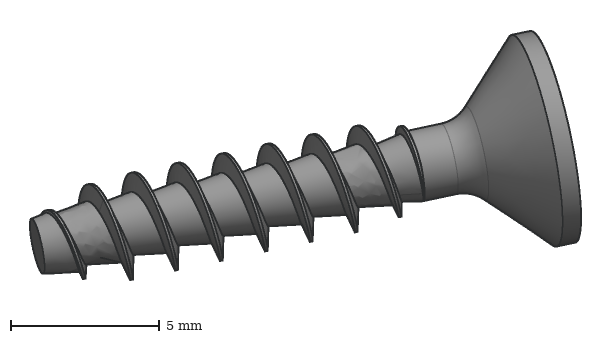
import cadquery as cq
import math


total_length = 18.0
head_radius = 3.65
rim_depth = 0.65
neck_fillet_radius = 1.35
cone_half_angle = math.radians(45)

shank_radius = 1.22
shank_end_depth = 4.82
core_radius = 0.95
runout_length = 1.4

pitch = 1.57
crest_radius = 1.77
crest_width = 0.1
flank_half_angle = math.radians(13.5)
tip_turns = 1.5
full_turns = 5.75
head_turns = 1.0
end_turns = 0.75
end_pitch = 0.5
tip_crest_radius = 0.92
head_crest_radius = 1.45
tooth_depth = 0.87

root_high_radius = 1.17
root_length = 1.44
root_inner_radius = 0.75
tip_taper_length = 1.2

shank_end = total_length - shank_end_depth
start_angle = 90


def helix(radius, radius_change, z_start, turns, lead):
    """Right-handed helix wire starting at z_start on +X, cylindrical or conical."""
    rise = turns * lead
    center = cq.Vector(0, 0, z_start)
    if radius_change == 0:
        return cq.Wire.makeHelix(lead, rise, radius, center)
    slope_angle = math.atan2(radius_change, rise)
    stretch = 1 / math.cos(slope_angle)
    return cq.Wire.makeHelix(
        lead * stretch, rise * stretch, radius, center, angle=math.degrees(slope_angle)
    )


def helical_solid(profile, z_start, turns, radius_change=0.0, lead=pitch):
    """Solid swept by a polygon of (radius, z) corners, closed by a flat face at each end."""
    rails = []
    for radius, z in profile:
        rails.append(helix(radius, radius_change, z_start + z, turns, lead))
    faces = []
    for index, rail in enumerate(rails):
        faces.append(cq.Face.makeRuledSurface(rails[index - 1], rail))
    turn_angle = 2 * math.pi * turns
    start_corners = []
    end_corners = []
    for radius, z in profile:
        end_radius = radius + radius_change
        start_corners.append(cq.Vector(radius, 0, z_start + z))
        end_corners.append(
            cq.Vector(
                end_radius * math.cos(turn_angle),
                end_radius * math.sin(turn_angle),
                z_start + z + turns * lead,
            )
        )
    for corners in (start_corners, end_corners):
        faces.append(cq.Face.makeFromWires(cq.Wire.makePolygon(corners, close=True)))
    return cq.Workplane(obj=cq.Solid.makeSolid(cq.Shell.makeShell(faces)))


def turned(body, turns):
    """Body turned about the axis to the place on the thread that lies `turns` from its start."""
    return body.rotate((0, 0, 0), (0, 0, 1), start_angle + 360 * turns)


def make_body():
    """Head, neck, shank, runout and core as one revolved shape."""
    fillet_rise = neck_fillet_radius * math.sin(cone_half_angle)
    fillet_step = neck_fillet_radius * (1 - math.cos(cone_half_angle))
    neck_radius = shank_radius + fillet_step
    rim_z = total_length - rim_depth
    neck_z = rim_z - (head_radius - neck_radius) / math.tan(cone_half_angle)
    mid_angle = cone_half_angle / 2
    mid_radius = shank_radius + neck_fillet_radius * (1 - math.cos(mid_angle))
    fillet_z = neck_z - fillet_rise
    mid_z = fillet_z + neck_fillet_radius * math.sin(mid_angle)
    return (
        cq.Workplane("XZ")
        .moveTo(0, 0)
        .lineTo(core_radius, 0)
        .lineTo(core_radius, shank_end - runout_length)
        .lineTo(shank_radius, shank_end)
        .lineTo(shank_radius, fillet_z)
        .threePointArc((mid_radius, mid_z), (neck_radius, neck_z))
        .lineTo(head_radius, rim_z)
        .lineTo(head_radius, total_length)
        .lineTo(0, total_length)
        .close()
        .revolve(360, (0, 0, 0), (0, 1, 0))
    )


def make_tooth(radius_start, radius_end, first_turn, turns, lead=pitch):
    """Stretch of thread tooth whose crest radius runs from radius_start to radius_end."""
    half_crest = crest_width / 2
    half_root = half_crest + tooth_depth * math.tan(flank_half_angle)
    profile = [
        (radius_start - tooth_depth, -half_root),
        (radius_start, -half_crest),
        (radius_start, half_crest),
        (radius_start - tooth_depth, half_root),
    ]
    radius_change = radius_end - radius_start
    tooth = helical_solid(profile, first_turn * pitch, turns, radius_change, lead)
    return turned(tooth, first_turn)


def make_sloped_root():
    """Root surface that falls from the tip side of each tooth to the next tooth."""
    profile = [
        (root_inner_radius, 0),
        (root_inner_radius, -root_length),
        (core_radius, -root_length),
        (root_high_radius, 0),
    ]
    turns = tip_turns + full_turns + head_turns + end_turns
    limits = (
        cq.Workplane("XZ")
        .moveTo(0, 0)
        .lineTo(core_radius, 0)
        .lineTo(root_high_radius, tip_taper_length)
        .lineTo(root_high_radius, shank_end)
        .lineTo(0, shank_end)
        .close()
        .revolve(360, (0, 0, 0), (0, 1, 0))
    )
    return turned(helical_solid(profile, 0, turns), 0).intersect(limits)


def make_thread():
    """Parts of the thread, kept between the tip face and the end of the shank."""
    head_turn = tip_turns + full_turns
    end_turn = head_turn + head_turns
    limits = cq.Workplane("XY").circle(head_radius).extrude(shank_end)
    tip_tooth = make_tooth(tip_crest_radius, crest_radius, 0, tip_turns)
    full_tooth = make_tooth(crest_radius, crest_radius, tip_turns, full_turns)
    head_tooth = make_tooth(crest_radius, head_crest_radius, head_turn, head_turns)
    end_tooth = make_tooth(head_crest_radius, shank_radius, end_turn, end_turns, end_pitch)
    return [
        tip_tooth.intersect(limits),
        full_tooth,
        head_tooth.intersect(limits),
        end_tooth.intersect(limits),
        make_sloped_root(),
    ]


screw = make_body()
for part in make_thread():
    screw = screw.union(part)

result = screw.rotate((0, 0, 0), (1, 0, 0), -90).translate((0, -total_length, 0))